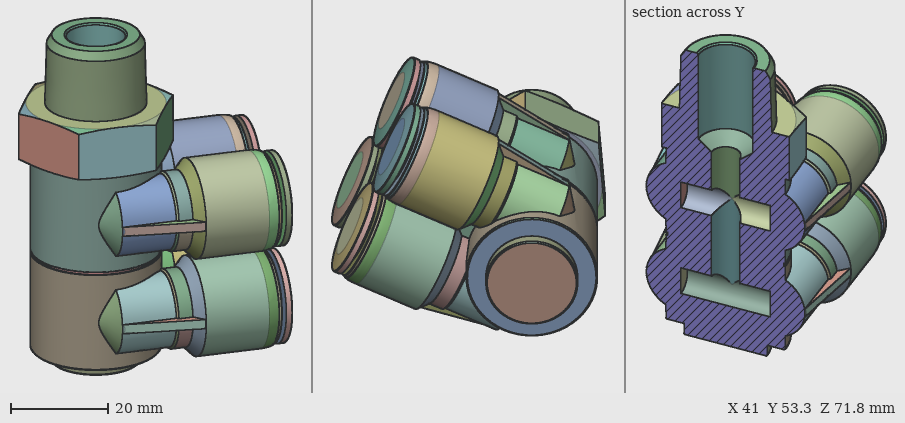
import cadquery as cq
import math

total_height = 71.8
spigot_d = 18.9
spigot_height = 2.7
spigot_chamfer = 0.3
body_d = 27.0
body_chamfer = 0.3
body_split_bottom = 23.9
body_split_top = 24.55
split_groove_depth = 0.35

hex_bottom = 45.75
hex_top = 56.8
hex_flats = 28.85
hex_chamfer_angle = 13.0

thread_root_d = 21.0
thread_tip_d = 20.25
thread_end_d = 18.1
thread_tip_height = 1.8

bore_d = 12.2
bore_mouth_d = 12.9
bore_cone_top = 50.25
bore_cone_angle = 100.0
passage_d = 6.3

outlet_spacing_x = 20.0
outlet_heights = (13.35, 35.0)
outlet_end_y = 36.6
ring_face_d = 12.6
ring_d = 19.8
ring_dome_mid_d = 16.5
ring_dome_mid_drop = 0.3
ring_rim_y = 36.05
ring_back_y = 34.7
ring_neck_d = 14.0
mouth_y = 33.8
edge_break = 0.15
mouth_step_y = 33.1
mouth_step_d = 20.4
mouth_round_mid_y = 31.95
mouth_round_mid_d = 20.8
socket_front_y = 30.8
socket_back_y = 17.2
socket_d = 21.0
collar_d = 16.65
collar_front_y = 15.1
collar_back_y = 12.05
stem_d = 15.8
stem_front_y = 11.6
stem_tip_length = 5.75

rib_thickness = 2.0
rib_inset = 0.1
rib_front_x = outlet_spacing_x / 2 + socket_d / 2 - rib_inset
rib_back_x = outlet_spacing_x / 2 + stem_d / 2 - rib_inset


def column():
    """Turned body of two stacked sleeves, bottom spigot and tapered thread."""
    spigot_r = spigot_d / 2
    body_r = body_d / 2
    groove_r = body_r - split_groove_depth
    profile = [
        (0, 0),
        (spigot_r - spigot_chamfer, 0),
        (spigot_r, spigot_chamfer),
        (spigot_r, spigot_height),
        (body_r - body_chamfer, spigot_height),
        (body_r, spigot_height + body_chamfer),
        (body_r, body_split_bottom),
        (groove_r, body_split_bottom),
        (groove_r, body_split_top),
        (body_r, body_split_top),
        (body_r, hex_bottom),
        (thread_root_d / 2, hex_bottom),
        (thread_root_d / 2, hex_top),
        (thread_tip_d / 2, total_height - thread_tip_height),
        (thread_end_d / 2, total_height),
        (0, total_height),
    ]
    return cq.Workplane("XZ").polyline(profile).close().revolve(360, (0, 0), (0, 1))


def hexagon():
    """Hexagon with corners on the Y axis, both ends chamfered to the flats."""
    corner_d = hex_flats / math.cos(math.radians(30))
    height = hex_top - hex_bottom
    prism = cq.Workplane("XY").workplane(offset=hex_bottom)
    prism = prism.transformed(rotate=(0, 0, 90)).polygon(6, corner_d).extrude(height)

    flat_r = hex_flats / 2
    corner_r = corner_d / 2
    drop = (corner_r - flat_r) * math.tan(math.radians(hex_chamfer_angle))
    envelope = [
        (0, hex_bottom),
        (flat_r, hex_bottom),
        (corner_r, hex_bottom + drop),
        (corner_r, hex_top - drop),
        (flat_r, hex_top),
        (0, hex_top),
    ]
    turned = cq.Workplane("XZ").polyline(envelope).close().revolve(360, (0, 0), (0, 1))
    return prism.intersect(turned)


def outlet():
    """One push-in outlet turned about the Y axis, pointed at the column end."""
    profile = (
        cq.Workplane("XY")
        .moveTo(0, -stem_tip_length)
        .lineTo(stem_d / 2, 0)
        .lineTo(stem_d / 2, stem_front_y)
        .lineTo(collar_d / 2, collar_back_y)
        .lineTo(collar_d / 2, collar_front_y)
        .lineTo(socket_d / 2, socket_back_y)
        .lineTo(socket_d / 2, socket_front_y)
        .threePointArc((mouth_round_mid_d / 2, mouth_round_mid_y), (mouth_step_d / 2, mouth_step_y))
        .lineTo(ring_d / 2, mouth_step_y)
        .lineTo(ring_d / 2, mouth_y - edge_break)
        .lineTo(ring_d / 2 - edge_break, mouth_y)
        .lineTo(ring_neck_d / 2, mouth_y)
        .lineTo(ring_neck_d / 2, ring_back_y)
        .lineTo(ring_d / 2, ring_back_y)
        .lineTo(ring_d / 2, ring_rim_y - edge_break)
        .lineTo(ring_d / 2 - edge_break, ring_rim_y)
        .threePointArc(
            (ring_dome_mid_d / 2, outlet_end_y - ring_dome_mid_drop),
            (ring_face_d / 2, outlet_end_y),
        )
        .lineTo(0, outlet_end_y)
        .close()
    )
    return profile.revolve(360, (0, 0), (0, 1))


def ribs():
    """Tapered web across both stems, reaching past them on either side."""
    corners = [
        (-rib_back_x, 0),
        (rib_back_x, 0),
        (rib_front_x, socket_back_y),
        (-rib_front_x, socket_back_y),
    ]
    return cq.Workplane("XY").polyline(corners).close().extrude(rib_thickness / 2, both=True)


def bore():
    """Stepped bore from the thread end down to the lower cross passage."""
    mouth_chamfer = (bore_mouth_d - bore_d) / 2
    cone_depth = (bore_d - passage_d) / 2 / math.tan(math.radians(bore_cone_angle / 2))
    profile = [
        (0, outlet_heights[0]),
        (passage_d / 2, outlet_heights[0]),
        (passage_d / 2, bore_cone_top - cone_depth),
        (bore_d / 2, bore_cone_top),
        (bore_d / 2, total_height - mouth_chamfer),
        (bore_mouth_d / 2, total_height),
        (0, total_height),
    ]
    return cq.Workplane("XZ").polyline(profile).close().revolve(360, (0, 0), (0, 1))


def cross_passage():
    """Horizontal passage joining the stems of one outlet pair."""
    start = cq.Workplane("YZ").workplane(offset=-outlet_spacing_x / 2)
    return start.circle(passage_d / 2).extrude(outlet_spacing_x)


result = column().union(hexagon())
for height in outlet_heights:
    for side in (-1, 1):
        result = result.union(outlet().translate((side * outlet_spacing_x / 2, 0, height)))
    result = result.union(ribs().translate((0, 0, height)))

result = result.cut(bore())
for height in outlet_heights:
    result = result.cut(cross_passage().translate((0, 0, height)))